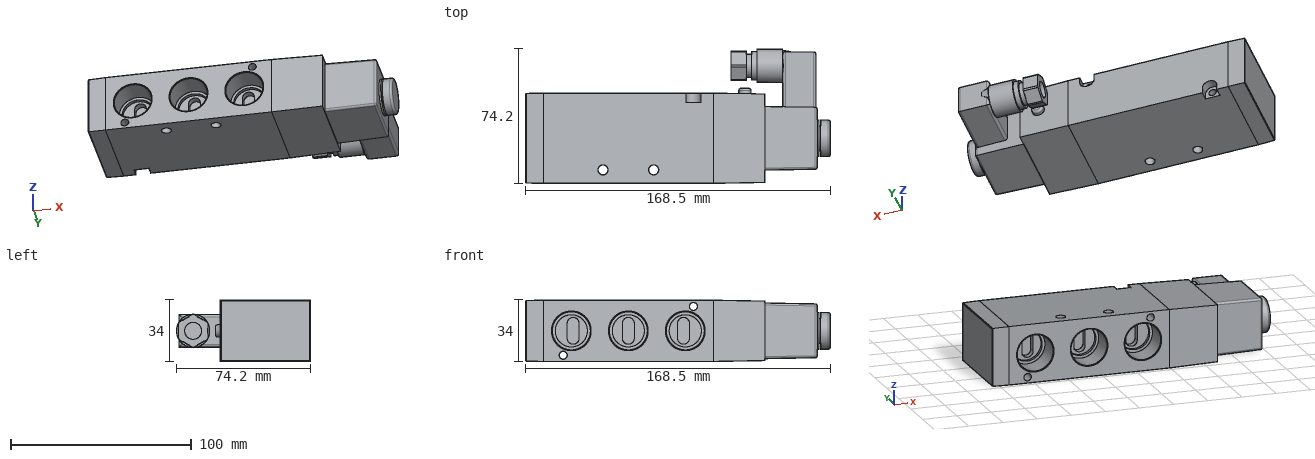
import cadquery as cq
import math


block_width = 50.0
block_height = 34.0
mid_z = block_height / 2
draft = math.tan(math.radians(1.0))

cap_end = 9.8
body_end = 103.7
pilot_end = 132.2
coil_end = 161.2
overall_length = 168.5

cap_chamfer = 0.4

port_pitch = 31.5
middle_port_x = (cap_end + body_end) / 2
port_diameter = 21.0
port_mouth_diameter = 22.0
port_mouth_depth = 0.25
port_depth = 14.0
port_step_diameter = 17.8
port_step_depth = 16.0
slot_pitch = 30.5
slot_width = 6.6
slot_height = 14.8
slot_depth = 20.0

cross_hole_diameter = 5.4
cross_hole_pitch = 28.0
cross_hole_y = 7.5
through_hole_diameter = 4.3
through_hole_pitch = 72.0
through_hole_edge = 3.5
counterbore_diameter = 8.4
counterbore_depth = 5.2

button_x = 121.2
button_diameter = 6.9
button_top_y = 52.7
button_round = 1.4

coil_y_min = 7.3
coil_y_max = 42.6
coil_height = 30.9
coil_round = 1.2

knob_y = (coil_y_min + coil_y_max) / 2
knob_diameter = 20.4
knob_groove_diameter = 13.8
knob_flange_end = 162.2
knob_head_start = 163.1
knob_round = 1.4

arm_x_min = 142.1
arm_x_max = 160.5
arm_y_max = 72.8
arm_height = 18.2
arm_round = 1.5

gland_y = 65.0
collar_start = 127.8
collar_diameter = 18.4
ring_start = 124.9
ring_diameter = 15.9
neck_start = 122.0
neck_diameter = 13.0
nut_start = 113.4
nut_across_flats = 16.2
nut_corner_diameter = 18.1
cable_diameter = 9.4
shoulder_end = 146.4
shoulder_radius_start = 8.6
shoulder_radius_end = 7.9


def drafted_block(x_root, x_tip, y_min, y_max, height):
    """Block along X, full size at x_root and tapering by the draft angle towards x_tip."""
    shrink = 2 * draft * abs(x_tip - x_root)
    width = y_max - y_min
    return (
        cq.Workplane("YZ", origin=(x_root, (y_min + y_max) / 2, mid_z))
        .rect(width, height)
        .workplane(offset=x_tip - x_root)
        .rect(width - shrink, height - shrink)
        .loft(combine=True)
    )


def disc_x(x_start, x_end, y, diameter):
    """Cylinder along X at mid height."""
    return (
        cq.Workplane("YZ", origin=(x_start, y, mid_z))
        .circle(diameter / 2)
        .extrude(x_end - x_start)
    )


def drill_y(x, z, diameter, depth):
    """Cylinder going into the -Y face."""
    return cq.Workplane("XZ", origin=(x, 0, z)).circle(diameter / 2).extrude(-depth)


def port(x, slot_x):
    """Stepped round port with a chamfered mouth and a slot in its floor."""
    mouth = (
        cq.Workplane("XZ", origin=(x, 0, mid_z))
        .circle(port_mouth_diameter / 2)
        .workplane(offset=-port_mouth_depth)
        .circle(port_diameter / 2)
        .loft(combine=True)
    )
    slot = (
        cq.Workplane("XZ", origin=(slot_x, 0, mid_z))
        .slot2D(slot_height, slot_width, 90)
        .extrude(-slot_depth)
    )
    bore = drill_y(x, mid_z, port_diameter, port_depth)
    step = drill_y(x, mid_z, port_step_diameter, port_step_depth)
    return mouth.union(bore).union(step).union(slot)


def make_end_cap():
    cap = drafted_block(cap_end, 0, 0, block_width, block_height)
    return cap.faces("<X").chamfer(cap_chamfer)


def make_valve_body():
    body = cq.Workplane("XY").box(
        body_end - cap_end, block_width, block_height, centered=False
    ).translate((cap_end, 0, 0))

    for place in (-1, 0, 1):
        body = body.cut(port(middle_port_x + place * port_pitch, middle_port_x + place * slot_pitch))

    for side in (-0.5, 0.5):
        cross_hole = (
            cq.Workplane("XY", origin=(middle_port_x + side * cross_hole_pitch, cross_hole_y, 0))
            .circle(cross_hole_diameter / 2)
            .extrude(block_height)
        )
        body = body.cut(cross_hole)

    for side in (-1, 1):
        x = middle_port_x + side * through_hole_pitch / 2
        z = mid_z + side * (mid_z - through_hole_edge)
        counterbore = (
            cq.Workplane("XZ", origin=(x, block_width, z))
            .circle(counterbore_diameter / 2)
            .extrude(counterbore_depth)
        )
        opening = (
            cq.Workplane("XZ", origin=(x, block_width, z + side * through_hole_edge / 2))
            .rect(counterbore_diameter, through_hole_edge)
            .extrude(counterbore_depth)
        )
        counterbore = counterbore.union(opening)
        body = body.cut(drill_y(x, z, through_hole_diameter, block_width)).cut(counterbore)
    return body


def make_pilot_housing():
    housing = drafted_block(body_end, pilot_end, 0, block_width, block_height)
    button = (
        cq.Workplane("XZ", origin=(button_x, button_top_y, mid_z))
        .circle(button_diameter / 2)
        .extrude(button_top_y - block_width / 2)
        .faces(">Y")
        .edges()
        .fillet(button_round)
    )
    return housing.union(button)


def make_coil():
    coil = drafted_block(pilot_end, coil_end, coil_y_min, coil_y_max, coil_height)
    return coil.faces("<Y or >X").edges("not(<X)").fillet(coil_round)


def make_knob():
    flange = disc_x(coil_end, knob_flange_end, knob_y, knob_diameter)
    groove = disc_x(knob_flange_end, knob_head_start, knob_y, knob_groove_diameter)
    head = disc_x(knob_head_start, overall_length, knob_y, knob_diameter)
    head = head.faces(">X").edges().fillet(knob_round)
    return flange.union(groove).union(head)


def make_plug_arm():
    arm_y_min = knob_y
    arm = cq.Workplane("XY").box(
        arm_x_max - arm_x_min, arm_y_max - arm_y_min, arm_height, centered=False
    ).translate((arm_x_min, arm_y_min, mid_z - arm_height / 2))
    return arm.faces("<X or >X").edges("not(<Y)").fillet(arm_round)


def make_cable_gland():
    nut = (
        cq.Workplane("YZ", origin=(nut_start, gland_y, mid_z))
        .polygon(6, nut_across_flats, circumscribed=True)
        .extrude(neck_start - nut_start)
    )
    nut = nut.intersect(disc_x(nut_start, neck_start, gland_y, nut_corner_diameter))
    nut = nut.cut(disc_x(nut_start, neck_start, gland_y, cable_diameter))
    neck = disc_x(neck_start, ring_start, gland_y, neck_diameter)
    ring = disc_x(ring_start, collar_start, gland_y, ring_diameter)
    collar = disc_x(collar_start, arm_x_min, gland_y, collar_diameter)
    shoulder = (
        cq.Workplane("YZ", origin=(arm_x_min, gland_y, mid_z))
        .circle(shoulder_radius_start)
        .workplane(offset=shoulder_end - arm_x_min)
        .circle(shoulder_radius_end)
        .loft(combine=True)
    )
    return nut.union(neck).union(ring).union(collar).union(shoulder)


def make_solenoid():
    return make_coil().union(make_plug_arm()).union(make_cable_gland()).union(make_knob())


end_cap = make_end_cap()
valve_body = make_valve_body()
pilot_housing = make_pilot_housing()
solenoid = make_solenoid()

result = cq.Compound.makeCompound(
    [end_cap.val(), valve_body.val(), pilot_housing.val(), solenoid.val()]
)